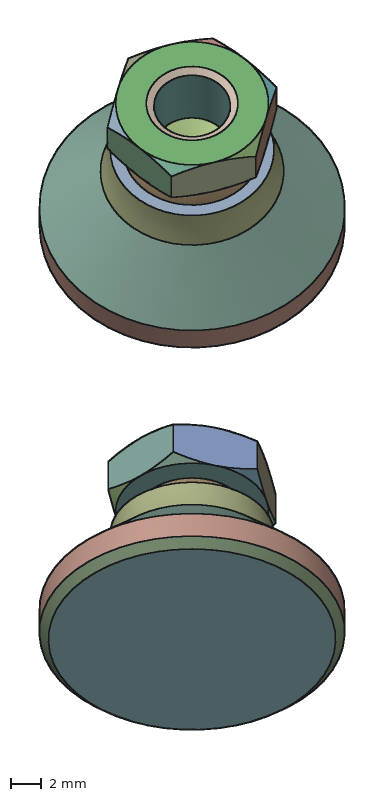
import cadquery as cq
import math

foot_radius = 10.0
bottom_chamfer = 0.6
rim_top = 2.5
cone_top = 6.5
cone_top_radius = 6.0
collar_top = 8.9
collar_top_radius = 5.35
collar_sag = 0.08

ball_radius = 4.68
ball_center = 7.65
head_bottom = 10.8
head_top = 14.0
across_flats = 10.0
head_chamfer_angle = 30.0
hole_diameter = 5.0
hole_mouth_diameter = 6.0
hole_mouth_angle = 30.0
hole_depth = 5.0
drill_tip_angle = 118.0


def revolve_profile(profile):
    """Revolve a closed radius-height profile about the Z axis."""
    return profile.close().revolve(360, (0, 0, 0), (0, 1, 0))


def make_ball():
    return cq.Workplane("XY").sphere(ball_radius).translate((0, 0, ball_center))


def make_foot():
    rise = collar_top - cone_top
    run = cone_top_radius - collar_top_radius
    chord = math.hypot(rise, run)
    flank_middle = (
        (cone_top_radius + collar_top_radius) / 2 - collar_sag * rise / chord,
        (cone_top + collar_top) / 2 - collar_sag * run / chord,
    )
    body = revolve_profile(
        cq.Workplane("XZ")
        .lineTo(foot_radius - bottom_chamfer, 0)
        .lineTo(foot_radius, bottom_chamfer)
        .lineTo(foot_radius, rim_top)
        .lineTo(cone_top_radius, cone_top)
        .threePointArc(flank_middle, (collar_top_radius, collar_top))
        .lineTo(0, collar_top)
    )
    return body.cut(make_ball())


def make_hex_head():
    """Hexagonal prism with flats facing X and both ends chamfered at the corners."""
    height = head_top - head_bottom
    flat_radius = across_flats / 2
    corner_radius = flat_radius / math.cos(math.radians(30))
    chamfer_run = corner_radius - flat_radius
    chamfer_drop = chamfer_run * math.tan(math.radians(head_chamfer_angle))
    prism = (
        cq.Workplane("XY")
        .workplane(offset=head_bottom)
        .transformed(rotate=(0, 0, 90))
        .polygon(6, 2 * corner_radius)
        .extrude(height)
    )
    envelope = revolve_profile(
        cq.Workplane("XZ")
        .moveTo(0, head_bottom)
        .lineTo(flat_radius, head_bottom)
        .lineTo(corner_radius, head_bottom + chamfer_drop)
        .lineTo(corner_radius, head_top - chamfer_drop)
        .lineTo(flat_radius, head_top)
        .lineTo(0, head_top)
    )
    return prism.intersect(envelope)


def make_hole():
    """Blind drilled hole with a shallow countersunk mouth and a conical bottom."""
    hole_radius = hole_diameter / 2
    mouth_radius = hole_mouth_diameter / 2
    mouth_depth = (mouth_radius - hole_radius) * math.tan(math.radians(hole_mouth_angle))
    hole_bottom = head_top - hole_depth
    tip_depth = hole_radius / math.tan(math.radians(drill_tip_angle / 2))
    return revolve_profile(
        cq.Workplane("XZ")
        .moveTo(0, head_top)
        .lineTo(mouth_radius, head_top)
        .lineTo(hole_radius, head_top - mouth_depth)
        .lineTo(hole_radius, hole_bottom)
        .lineTo(0, hole_bottom - tip_depth)
    )


def make_swivel():
    return make_ball().union(make_hex_head()).cut(make_hole())


foot = make_foot()
swivel = make_swivel()
result = cq.Compound.makeCompound([foot.solids().val(), swivel.solids().val()])